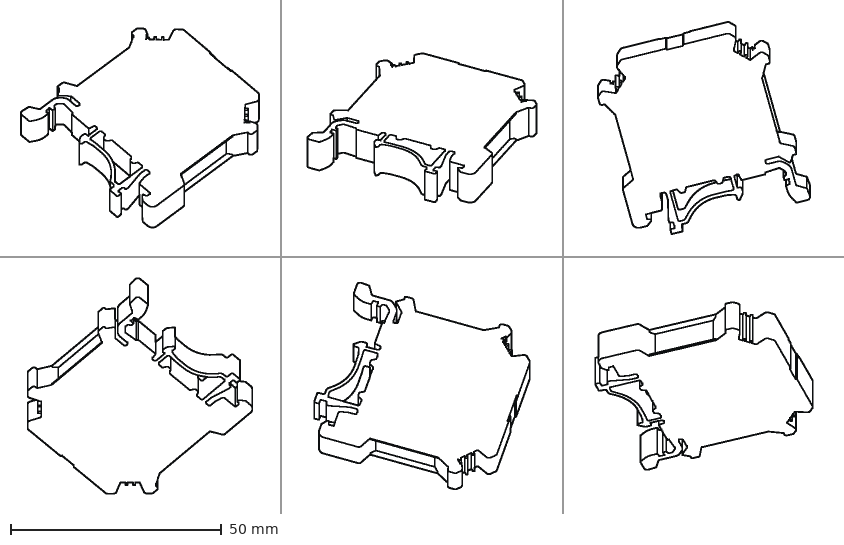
import cadquery as cq
import math


height = 45.65
thickness = 8.1
body_half = 18.05
body_top = 32.55
body_bottom = 15.65
wing_half = 20.9
shoulder_half = 21.1
ceiling = 10.6
rail_level = 6.4
slot_end = -13.45
slot_top = 12.5
slot_bottom = 11.35
slot_radius = 0.5
latch_step = 12.0
hook_ceiling = 8.95
bottom_recess = 0.15

pocket_depth = 1.1
pocket_lip = 0.78
lip_radius = 0.5

rib_radius = 0.27
rib_reach = 0.55
rib_feet = [(15.55, 38.7), (14.3, 40.0)]

undercut = [(17.55, 38.55), (18.0, 38.05), (17.1, 37.2), (17.1, 38.55)]
undercut_depth = 1.83

notch_half = 1.95
notch_flare = 0.25
notch_depth = 0.3
notch_bevel_half = 3.65

bump_centres = [-1.7, 7.5]
bump_top_half = 1.15
bump_tip_half = 0.55
bump_drop = 1.15


def rounded_face(corners):
    """Closed wire through (x, y, radius) corners, each rounded by a tangent arc."""
    stretches = []
    count = len(corners)
    for index, (x, y, radius) in enumerate(corners):
        before = corners[index - 1]
        after = corners[(index + 1) % count]
        back = cq.Vector(before[0] - x, before[1] - y).normalized()
        ahead = cq.Vector(after[0] - x, after[1] - y).normalized()
        corner = cq.Vector(x, y)
        half_angle = back.getAngle(ahead) / 2
        setback = radius / math.tan(half_angle)
        bisector = (back + ahead).normalized()
        middle = corner + bisector * (radius / math.sin(half_angle) - radius)
        stretches.append((corner + back * setback, middle, corner + ahead * setback, radius))

    outline = cq.Workplane("XY").moveTo(*stretches[0][2].toTuple()[:2])
    for start, middle, end, radius in stretches[1:] + stretches[:1]:
        outline = outline.lineTo(start.x, start.y)
        if radius > 0:
            outline = outline.threePointArc((middle.x, middle.y), (end.x, end.y))
    return outline.close()


def mirrored(corners):
    """The same corners on the other side of X = 0, in reverse order."""
    return [(-x, y, radius) for x, y, radius in reversed(corners)]


upper_left = [
    (-13.2, height, 0.8),
    (-14.75, 44.1, 0.8),
    (-13.3, 41.0, 0.3),
    (-16.5, 37.8, 0),
    (-19.6, 39.2, 0.8),
    (-wing_half, 37.85, 0.55),
    (-wing_half, 35.75, 0.6),
    (-19.8, 35.75, 0),
    (-body_half, body_top, 0),
    (-body_half, body_bottom, 0),
    (-shoulder_half, 14.05, 0.7),
]

latch_finger = [
    (-shoulder_half, latch_step, 0.25),
    (-20.25, latch_step, 0.25),
    (-19.05, 10.25, 0.25),
    (-16.8, slot_top, 0),
    (slot_end, slot_top, slot_radius),
    (slot_end, slot_bottom, slot_radius),
]

spring_hook = [
    (-17.05, slot_bottom, 2.1),
    (-19.0, 9.5, 2.0),
    (-19.0, 4.45, 0.35),
    (-21.27, 3.05, 0),
    (-21.55, bottom_recess, 0.8),
    (-18.0, bottom_recess, 0.25),
    (-16.6, 2.6, 4.55),
    (-16.6, 4.98, 0),
    (-17.6, 5.15, 0.1),
    (-17.6, 5.95, 0),
    (-17.75, rail_level, 0),
    (-16.6, rail_level, 0),
    (-16.6, 7.2, 0),
    (-17.4, 7.6, 0.27),
    (-17.4, 8.5, 0.45),
    (-16.25, 9.7, 0.3),
    (-12.8, 9.4, 0),
    (-12.65, hook_ceiling, 0),
    (-6.75, hook_ceiling, 0),
    (-6.45, ceiling, 0.27),
]

clip_arch = [
    (-5.35, ceiling, 0.55),
    (-5.35, 7.35, 0),
    (-6.35, 7.35, 0.5),
    (-6.35, 5.75, 1.15),
    (-4.98, 4.05, 0.25),
    (-4.55, 4.7, 0.35),
    (-4.55, 5.8, 0.55),
    (-2.3, 6.2, 4.55),
    (4.47, 6.25, 8.67),
    (8.3, 1.8, 1.15),
    (9.9, 1.8, 0.45),
    (9.95, 0, 0.2),
    (12.75, 0, 0.2),
    (12.75, 1.3, 0),
    (11.6, 1.3, 0.25),
    (11.6, 2.9, 0.35),
    (12.55, 2.9, 0.25),
    (12.55, 3.8, 0.25),
    (11.4, 8.6, 0.45),
    (11.4, ceiling, 0.45),
]

fixed_hook = [
    (12.87, ceiling, 0.3),
    (12.87, 8.6, 0.45),
    (13.38, rail_level, 0.5),
    (17.4, rail_level, 0),
    (17.4, 5.15, 0.15),
    (16.5, 4.95, 0),
    (16.5, 4.5, 0.25),
    (17.8, 3.45, 0.25),
    (shoulder_half, 3.45, 1.55),
]

window_left = -4.45
window_right = 10.35
window = [
    (window_left, ceiling, 0.45),
    (window_left, 7.05, 0.4),
    (-2.3, 7.15, 4.55),
    (4.75, 7.15, 9.6),
    (8.85, 2.7, 0.9),
    (window_right, 2.7, 0.4),
    (window_right, ceiling, 0.4),
]
for centre in reversed(bump_centres):
    window += [
        (centre + bump_top_half, ceiling, 0.25),
        (centre + bump_tip_half, ceiling - bump_drop, 0.6),
        (centre - bump_tip_half, ceiling - bump_drop, 0.6),
        (centre - bump_top_half, ceiling, 0.25),
    ]

outline = upper_left + latch_finger + spring_hook + clip_arch + fixed_hook + mirrored(upper_left)
body = rounded_face(outline).extrude(thickness)
body = body.cut(rounded_face(window).extrude(thickness))


def marker_ribs():
    """Round-tipped ribs standing on the left 45 degree slope."""
    ribs = cq.Workplane("XY")
    for foot_x, foot_y in rib_feet:
        rib = (
            cq.Workplane("XY")
            .center(-foot_x, foot_y)
            .transformed(rotate=(0, 0, 135))
            .slot2D(2 * (rib_reach + rib_radius), 2 * rib_radius)
            .extrude(thickness)
        )
        ribs = ribs.add(rib)
    return ribs.combine()


def side_pocket():
    """Cutter for the left pocket: 45 degree ends and rounded lips on the long edges."""
    floor = -body_half + pocket_depth
    plan = (
        cq.Workplane("XY")
        .moveTo(-body_half, body_bottom)
        .lineTo(floor, body_bottom + pocket_depth)
        .lineTo(floor, body_top - pocket_depth)
        .lineTo(-body_half, body_top)
        .close()
        .extrude(thickness)
    )
    low = pocket_lip
    high = thickness - pocket_lip
    lip_end = -body_half + lip_radius
    section = (
        cq.Workplane("XZ")
        .moveTo(floor, low)
        .lineTo(lip_end, low)
        .radiusArc((-body_half, low - lip_radius), -lip_radius)
        .lineTo(-body_half, high + lip_radius)
        .radiusArc((lip_end, high), -lip_radius)
        .lineTo(floor, high)
        .close()
        .extrude(-height)
    )
    return plan.intersect(section)


def wing_undercut():
    """Cutter for the corner recess in the left wing, open to the upper face."""
    points = [(-x, y) for x, y in undercut]
    return (
        cq.Workplane("XY", origin=(0, 0, thickness - undercut_depth))
        .polyline(points)
        .close()
        .extrude(undercut_depth)
    )


def top_notch():
    """Cutter for the shallow notch in the top edge, with bevelled faces beside it."""
    notch = (
        cq.Workplane("XY")
        .moveTo(-notch_half - notch_flare, height)
        .lineTo(-notch_half, height - notch_depth)
        .lineTo(notch_half, height - notch_depth)
        .lineTo(notch_half + notch_flare, height)
        .close()
        .extrude(thickness)
    )
    bevel = (
        cq.Workplane("YZ", origin=(-notch_bevel_half, 0, 0))
        .moveTo(height, thickness)
        .lineTo(height - notch_depth, thickness)
        .lineTo(height, thickness - notch_depth)
        .close()
        .extrude(2 * notch_bevel_half)
    )
    return notch.union(bevel)


ribs = marker_ribs()
body = body.union(ribs).union(ribs.mirror("YZ"))
for cutter in (side_pocket(), wing_undercut()):
    body = body.cut(cutter).cut(cutter.mirror("YZ"))
result = body.cut(top_notch())